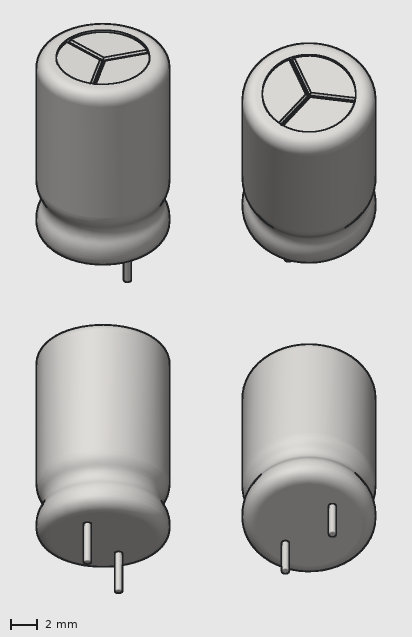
import cadquery as cq
import math

total_height = 19.3
can_diameter = 10.0
can_height = 16.0
rim_radius = 1.0

crimp_center_z = 3.0
crimp_half_height = 1.8
crimp_depth = 0.5
crimp_shoulder_height = 1.06

recess_diameter = 6.99
recess_depth = 0.2
score_width = 0.42
score_floor_width = 0.1
score_depth = 0.15
score_arm_count = 3
first_arm_angle = 60.0

lead_diameter = 0.6
lead_spacing = 5.0
lead_tip_radius = 0.1

can_radius = can_diameter / 2
lead_length = total_height - can_height
recess_floor_z = can_height - recess_depth

flank_angle = 2 * math.atan(crimp_depth / crimp_half_height)
neck_height = crimp_half_height - crimp_shoulder_height
shoulder_arc_radius = crimp_shoulder_height / math.sin(flank_angle)
neck_arc_radius = neck_height / math.sin(flank_angle)
neck_radius = can_radius - crimp_depth


def shoulder_point(angle, side):
    """Point on a shoulder arc, turned by angle from the can wall; side is +1 above the crimp, -1 below."""
    radius = can_radius - shoulder_arc_radius * (1 - math.cos(angle))
    rise = crimp_half_height - shoulder_arc_radius * math.sin(angle)
    return radius, crimp_center_z + side * rise


def make_can():
    rim_mid_offset = rim_radius * (1 - math.sqrt(0.5))
    rim_mid_radius = can_radius - rim_mid_offset
    neck_end_radius = neck_radius + neck_arc_radius * (1 - math.cos(flank_angle))
    profile = (
        cq.Workplane("XZ")
        .lineTo(can_radius - rim_radius, 0)
        .threePointArc((rim_mid_radius, rim_mid_offset), (can_radius, rim_radius))
        .lineTo(can_radius, crimp_center_z - crimp_half_height)
        .threePointArc(shoulder_point(flank_angle / 2, -1), shoulder_point(flank_angle, -1))
        .threePointArc((neck_radius, crimp_center_z), (neck_end_radius, crimp_center_z + neck_height))
        .threePointArc(shoulder_point(flank_angle / 2, 1), shoulder_point(0, 1))
        .lineTo(can_radius, can_height - rim_radius)
        .threePointArc((rim_mid_radius, can_height - rim_mid_offset), (can_radius - rim_radius, can_height))
        .lineTo(0, can_height)
        .close()
    )
    return profile.revolve(360, (0, 0, 0), (0, 1, 0))


def make_recess():
    return cq.Workplane("XY", origin=(0, 0, recess_floor_z)).circle(recess_diameter / 2).extrude(recess_depth)


def make_score():
    """Trapezoidal grooves meeting at the center and ending at the recess wall."""
    arm = (
        cq.Workplane("YZ", origin=(0, 0, recess_floor_z))
        .moveTo(-score_width / 2, 0)
        .lineTo(-score_floor_width / 2, -score_depth)
        .lineTo(score_floor_width / 2, -score_depth)
        .lineTo(score_width / 2, 0)
        .close()
        .extrude(recess_diameter / 2)
    )
    score = cq.Workplane("XY")
    for index in range(score_arm_count):
        angle = first_arm_angle + index * 360 / score_arm_count
        score = score.add(arm.rotate((0, 0, 0), (0, 0, 1), angle))
    limit = (
        cq.Workplane("XY", origin=(0, 0, recess_floor_z - score_depth))
        .circle(recess_diameter / 2)
        .extrude(score_depth)
    )
    return score.combine().intersect(limit)


def make_leads():
    return (
        cq.Workplane("XY")
        .pushPoints([(-lead_spacing / 2, 0), (lead_spacing / 2, 0)])
        .circle(lead_diameter / 2)
        .extrude(-lead_length)
        .faces("<Z")
        .edges()
        .fillet(lead_tip_radius)
    )


result = make_can().cut(make_recess()).cut(make_score()).union(make_leads())